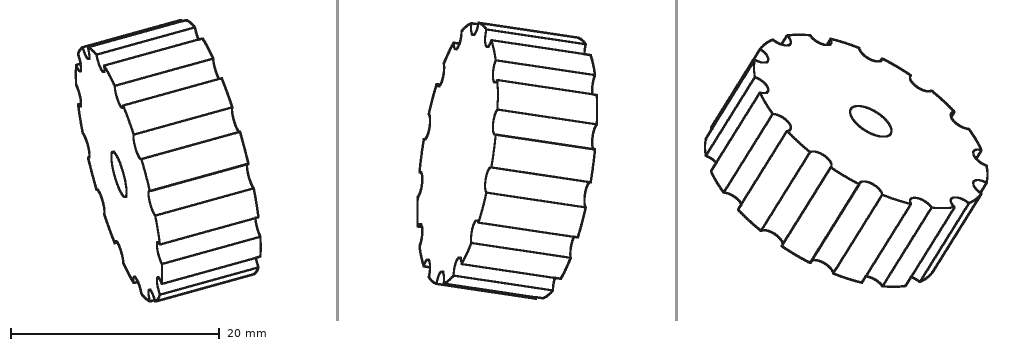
import cadquery as cq
import math

outer_diameter = 25.38
width = 10.0
groove_count = 14
groove_radius = 1.25
bore_diameter = 4.5
bore_depth = 7.61

outer_radius = outer_diameter / 2


def make_wheel():
    """Plain disc centred on the Y axis, from y = 0 back to y = width."""
    return cq.Workplane("XZ").circle(outer_radius).extrude(-width)


def make_grooves():
    """Round grip grooves centred on the rim, the first one at the top."""
    step = math.tau / groove_count
    centres = []
    for index in range(groove_count):
        angle = math.pi / 2 + index * step
        centres.append((outer_radius * math.cos(angle), outer_radius * math.sin(angle)))
    return cq.Workplane("XZ").pushPoints(centres).circle(groove_radius).extrude(-width)


def make_bore():
    """Blind flat-bottomed bore entering the front face at y = 0."""
    return cq.Workplane("XZ").circle(bore_diameter / 2).extrude(-bore_depth)


result = make_wheel().cut(make_grooves()).cut(make_bore())